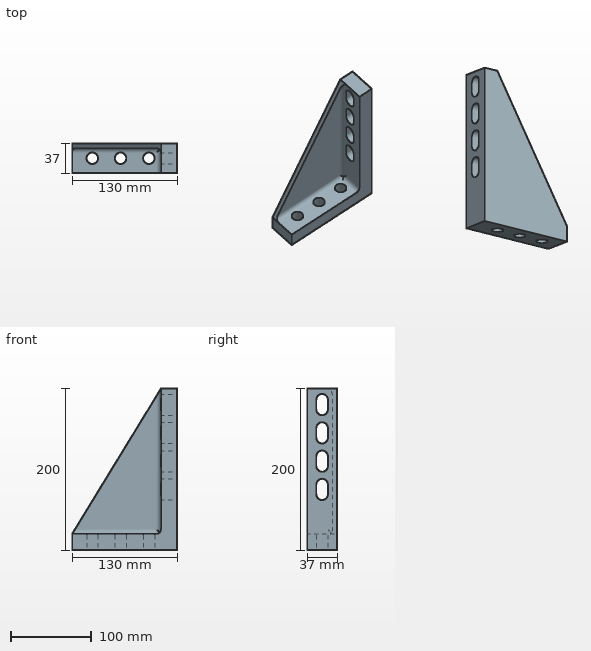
import cadquery as cq

length = 130.0
width = 37.0
height = 200.0

leg_thickness = 20.0
web_thickness = 6.0
fillet_radius = 6.0

hole_diameter = 14.0
slot_length = 26.0
pitch = 35.0
first_hole_x = 25.0
hole_count = 3
top_slot_z = height - 20.0
slot_count = 4

inner_x = length - leg_thickness
web_front_y = width - web_thickness
middle_y = width / 2
cut_depth = leg_thickness + fillet_radius


def pocket_box():
    """Sharp pocket tool; it overruns the slope, so only its inner corner shapes the part."""
    return (
        cq.Workplane("XY")
        .box(2 * inner_x, 2 * web_front_y, 2 * height, centered=False)
        .translate((-inner_x, -web_front_y, leg_thickness))
    )


def filleted_pocket():
    """Pocket tool whose three inner fillets meet in mitred lines at the corner."""
    pocket = pocket_box()
    for inner_edge in (">X and >Y", ">X and <Z", ">Y and <Z"):
        pocket = pocket.intersect(pocket_box().edges(inner_edge).fillet(fillet_radius))
    return pocket


def bracket_body():
    """Triangular-backed block with a pocket that leaves the two legs and the web."""
    outline = [
        (0, 0),
        (length, 0),
        (length, height),
        (inner_x, height),
        (0, leg_thickness),
    ]
    block = cq.Workplane("XZ").polyline(outline).close().extrude(-width)
    return block.cut(filleted_pocket())


def base_holes():
    """Round through holes in the horizontal leg."""
    centers = [(first_hole_x + i * pitch, middle_y) for i in range(hole_count)]
    return cq.Workplane("XY").pushPoints(centers).circle(hole_diameter / 2).extrude(cut_depth)


def upright_slots():
    """Upright through slots in the vertical leg."""
    centers = [(middle_y, top_slot_z - i * pitch) for i in range(slot_count)]
    return (
        cq.Workplane("YZ", origin=(length, 0, 0))
        .pushPoints(centers)
        .slot2D(slot_length, hole_diameter, 90)
        .extrude(-cut_depth)
    )


result = bracket_body().cut(base_holes()).cut(upright_slots())